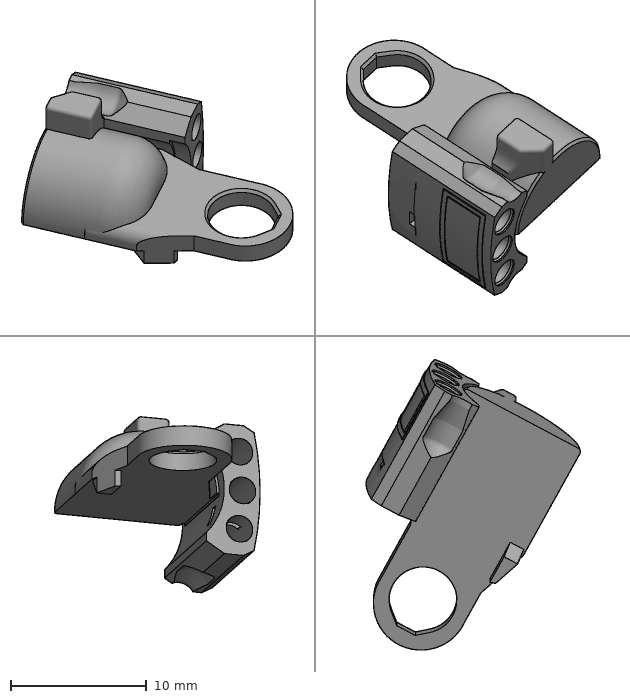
import cadquery as cq
import math

TOTAL_LENGTH = 19.3

SHELL_RADIUS = 4.9
SHELL_LENGTH = 9.01
SHELL_ROUNDING = 3.0
SHELL_CHAMFER = 0.2

BLOCK_LENGTH = 9.8
BLOCK_HALF_HEIGHT = 5.0
HOLLOW_RADIUS = 5.1
NOSE_Y = 3.7
NOSE_HALF_HEIGHT = 4.15
RIDGE_Y = 5.1
BACK_CORNER_Y = 6.58
SHOULDER_Y = 7.41
SHOULDER_HALF_HEIGHT = 4.54
BACK_Y = 7.87

BORE_RADIUS = 1.02
BORE_MOUTH_RADIUS = 1.12
BORE_MOUTH_DEPTH = 0.12
BORE_CONE_LENGTH = 0.15
BORE_CENTRES = [(6.27, 2.97), (6.5, 0), (6.27, -2.97)]

FLUTE_Y = 4.82
FLUTE_Z = 5.67
FLUTE_NECK_RADIUS = 1.3
FLUTE_RADIUS = 1.66
FLUTE_NECK_END = 0.48
FLUTE_TAPER_END = 2.18
FLUTE_BARREL_END = 3.7
FLUTE_ROUNDING = 0.5

FRAME_START = 0.8
FRAME_END = 4.82
FRAME_HALF_HEIGHT = 4.2
FRAME_WIDTH = 0.45
FRAME_RISE = 0.08

RECESS_START = 7.33
RECESS_FLAT_END = 8.4
RECESS_DEPTH = 0.21
RECESS_HALF_HEIGHT = 3.09
SLOT_START = 7.3
SLOT_LENGTH = 0.64
SLOT_TOP = -0.8
SLOT_HEIGHT = 1.4

WEB_START = 0.65
WEB_END = 8.59
WEB_TOP = math.sqrt(HOLLOW_RADIUS**2 - NOSE_Y**2)
WEB_LIP_Y = 5.05
WEB_LIP_DROP = 0.2

PLATE_THICKNESS = 1.5
PLATE_START = 4.98
PLATE_HALF_WIDTH = 3.5
PLATE_EDGE_ROUNDING = 1.0
RING_X = 15.5
FLANK_LENGTH = 4.0
FRONT_FLANK_END = 13.0
BACK_FLANK_END = 10.98

HOLE_RADIUS = 2.49
HOLE_FLAT_X = 2.6
HOLE_FLAT_HALF = 0.77
HOLE_CHAMFER = 0.21

FIN_TOP = 7.0
FIN_BASE = 1.93
FIN_LENGTH = 3.65
FIN_FRONT_Y = 0.48
FIN_BACK_Y = 2.93
FIN_FOOT_Y = 3.55
FIN_FLARE_TOP = 5.98
FIN_FLARE_BOTTOM = 4.54
FIN_CORNER_Y = 1.75
FIN_CORNER_X = 1.99
FIN_ROUNDING = 0.3
FIN_TOP_ROUNDING = 0.29

HOOK_DEPTH = 1.22
HOOK_START = 9.55
HOOK_FRONT_END = 11.62
HOOK_END = 11.75
HOOK_BACK_Y = -3.57
HOOK_RAMP_START = 8.6


def box(x_range, y_range, z_range):
    size = [end - start for start, end in (x_range, y_range, z_range)]
    corner = (x_range[0], y_range[0], z_range[0])
    return cq.Workplane("XY").box(*size, centered=False).translate(corner)


def rod(radius, length):
    return cq.Workplane("YZ").circle(radius).extrude(length)


def make_shell():
    profile = (
        cq.Workplane("XY")
        .lineTo(0, SHELL_RADIUS - SHELL_CHAMFER)
        .lineTo(SHELL_CHAMFER, SHELL_RADIUS)
        .lineTo(SHELL_LENGTH - SHELL_ROUNDING, SHELL_RADIUS)
        .tangentArcPoint((SHELL_LENGTH, SHELL_RADIUS - SHELL_ROUNDING), relative=False)
        .lineTo(SHELL_LENGTH, 0)
        .close()
    )
    body = profile.revolve(360, (0, 0, 0), (1, 0, 0))
    upper_half = box((0, SHELL_LENGTH), (-SHELL_RADIUS, SHELL_RADIUS), (0, SHELL_RADIUS))
    return body.intersect(upper_half)


def make_block_body(back_offset):
    """Block without its bores; back_offset moves its curved back outwards."""
    shoulder_y = SHOULDER_Y + back_offset
    body = (
        cq.Workplane("YZ")
        .moveTo(NOSE_Y, -NOSE_HALF_HEIGHT)
        .lineTo(RIDGE_Y, -BLOCK_HALF_HEIGHT)
        .lineTo(BACK_CORNER_Y, -BLOCK_HALF_HEIGHT)
        .lineTo(shoulder_y, -SHOULDER_HALF_HEIGHT)
        .threePointArc((BACK_Y + back_offset, 0), (shoulder_y, SHOULDER_HALF_HEIGHT))
        .lineTo(BACK_CORNER_Y, BLOCK_HALF_HEIGHT)
        .lineTo(RIDGE_Y, BLOCK_HALF_HEIGHT)
        .lineTo(NOSE_Y, NOSE_HALF_HEIGHT)
        .close()
        .extrude(BLOCK_LENGTH)
    )
    return body.cut(rod(HOLLOW_RADIUS, BLOCK_LENGTH))


def make_frame():
    y_range = (BACK_CORNER_Y, BACK_Y + FRAME_RISE)
    outer = box((FRAME_START, FRAME_END), y_range, (-FRAME_HALF_HEIGHT, FRAME_HALF_HEIGHT))
    window_half = FRAME_HALF_HEIGHT - FRAME_WIDTH
    window_x = (FRAME_START + FRAME_WIDTH, FRAME_END - FRAME_WIDTH)
    window = box(window_x, y_range, (-window_half, window_half))
    return make_block_body(FRAME_RISE).intersect(outer.cut(window))


def make_flute():
    rounding_end = FLUTE_BARREL_END + FLUTE_ROUNDING * math.sin(math.pi / 4)
    cone_radius = FLUTE_RADIUS - FLUTE_ROUNDING * (1 - math.cos(math.pi / 4))
    profile = (
        cq.Workplane("XY")
        .lineTo(0, FLUTE_NECK_RADIUS)
        .lineTo(FLUTE_NECK_END, FLUTE_NECK_RADIUS)
        .lineTo(FLUTE_TAPER_END, FLUTE_RADIUS)
        .lineTo(FLUTE_BARREL_END, FLUTE_RADIUS)
        .tangentArcPoint((rounding_end, cone_radius), relative=False)
        .lineTo(rounding_end + cone_radius, 0)
        .close()
    )
    return profile.revolve(360, (0, 0, 0), (1, 0, 0)).translate((0, FLUTE_Y, FLUTE_Z))


def make_bore(y, z):
    bore = rod(BORE_RADIUS, BLOCK_LENGTH)
    mouth = rod(BORE_MOUTH_RADIUS, BORE_MOUTH_DEPTH)
    cone = cq.Solid.makeCone(
        BORE_MOUTH_RADIUS,
        BORE_RADIUS,
        BORE_CONE_LENGTH,
        pnt=cq.Vector(BORE_MOUTH_DEPTH, 0, 0),
        dir=cq.Vector(1, 0, 0),
    )
    return bore.union(mouth).union(cone).translate((0, y, z))


def make_back_recess():
    floor_y = BACK_Y - RECESS_DEPTH
    return (
        cq.Workplane("XY", origin=(0, 0, -RECESS_HALF_HEIGHT))
        .moveTo(RECESS_START, BACK_Y)
        .lineTo(RECESS_START, floor_y)
        .lineTo(RECESS_FLAT_END, floor_y)
        .lineTo(BLOCK_LENGTH, BACK_Y)
        .close()
        .extrude(2 * RECESS_HALF_HEIGHT)
    )


def make_block():
    block = make_block_body(0).union(make_frame())
    for y, z in BORE_CENTRES:
        block = block.cut(make_bore(y, z))
    flute = make_flute()
    block = block.cut(flute).cut(flute.mirror("XY"))
    slot = box(
        (SLOT_START, SLOT_START + SLOT_LENGTH),
        (NOSE_Y, BACK_Y),
        (SLOT_TOP - SLOT_HEIGHT, SLOT_TOP),
    )
    return block.cut(make_back_recess()).cut(slot)


def make_web():
    web = box((WEB_START, WEB_END), (NOSE_Y, HOLLOW_RADIUS), (0, WEB_TOP))
    web = web.cut(rod(SHELL_RADIUS, BLOCK_LENGTH))
    lip = box((WEB_START, WEB_END), (WEB_LIP_Y, HOLLOW_RADIUS), (-WEB_LIP_DROP, 0))
    return web.union(lip).intersect(rod(HOLLOW_RADIUS, BLOCK_LENGTH))


def make_ring_hole():
    corner_radius = math.hypot(HOLE_FLAT_X, HOLE_FLAT_HALF)
    corner_angle = math.atan2(HOLE_FLAT_HALF, HOLE_FLAT_X)
    tangent_angle = corner_angle + math.acos(HOLE_RADIUS / corner_radius)
    tangent_x = HOLE_RADIUS * math.cos(tangent_angle)
    tangent_y = HOLE_RADIUS * math.sin(tangent_angle)
    hole = (
        cq.Workplane("XY")
        .moveTo(HOLE_FLAT_X, -HOLE_FLAT_HALF)
        .lineTo(HOLE_FLAT_X, HOLE_FLAT_HALF)
        .lineTo(tangent_x, tangent_y)
        .threePointArc((-HOLE_RADIUS, 0), (tangent_x, -tangent_y))
        .close()
        .extrude(PLATE_THICKNESS)
    )
    rim = (
        hole.faces("<Z")
        .wires()
        .toPending()
        .extrude(HOLE_CHAMFER, combine=False, taper=-45)
        .translate((0, 0, PLATE_THICKNESS - HOLE_CHAMFER))
    )
    return hole.union(rim).translate((RING_X, 0, 0))


def make_plate():
    slab = (
        box((PLATE_START, TOTAL_LENGTH), (-SHELL_RADIUS, SHELL_RADIUS), (0, PLATE_THICKNESS))
        .edges("|X and >Z and <Y")
        .fillet(PLATE_EDGE_ROUNDING)
    )
    outline = (
        cq.Workplane("XY")
        .moveTo(PLATE_START, -SHELL_RADIUS)
        .lineTo(FRONT_FLANK_END - FLANK_LENGTH, -SHELL_RADIUS)
        .lineTo(FRONT_FLANK_END, -PLATE_HALF_WIDTH)
        .lineTo(RING_X, -PLATE_HALF_WIDTH)
        .threePointArc((TOTAL_LENGTH, 0), (RING_X, PLATE_HALF_WIDTH))
        .lineTo(BACK_FLANK_END, PLATE_HALF_WIDTH)
        .lineTo(BACK_FLANK_END - FLANK_LENGTH, SHELL_RADIUS)
        .lineTo(PLATE_START, SHELL_RADIUS)
        .close()
        .extrude(PLATE_THICKNESS)
    )
    return slab.intersect(outline).cut(make_ring_hole())


def make_fin():
    side = (
        cq.Workplane("YZ")
        .moveTo(FIN_FRONT_Y, FIN_BASE)
        .lineTo(FIN_FRONT_Y, FIN_TOP)
        .lineTo(FIN_BACK_Y, FIN_TOP)
        .lineTo(FIN_BACK_Y, FIN_FLARE_TOP)
        .tangentArcPoint((FIN_FOOT_Y, FIN_FLARE_BOTTOM), relative=False)
        .lineTo(FIN_FOOT_Y, FIN_BASE)
        .close()
        .extrude(FIN_LENGTH)
    )
    corner = (
        cq.Workplane("XY")
        .moveTo(0, FIN_CORNER_Y)
        .lineTo(FIN_CORNER_X, FIN_FOOT_Y)
        .lineTo(0, FIN_FOOT_Y)
        .close()
        .extrude(FIN_TOP)
    )
    fin = side.cut(corner)
    fin = fin.faces("not #X").edges("not #Z").fillet(FIN_ROUNDING)
    return fin.faces(">Z").edges().fillet(FIN_TOP_ROUNDING)


def flank_y(x):
    """Y of the plate's front flank at a given X."""
    slope = (SHELL_RADIUS - PLATE_HALF_WIDTH) / FLANK_LENGTH
    return -PLATE_HALF_WIDTH - slope * (FRONT_FLANK_END - x)


def make_hook():
    front_y = flank_y(HOOK_START)
    tooth = (
        cq.Workplane("XY")
        .moveTo(HOOK_RAMP_START, front_y)
        .lineTo(HOOK_START, front_y)
        .lineTo(HOOK_FRONT_END, flank_y(HOOK_FRONT_END))
        .lineTo(HOOK_END, HOOK_BACK_Y)
        .lineTo(HOOK_RAMP_START, HOOK_BACK_Y)
        .close()
        .extrude(-HOOK_DEPTH)
    )
    below_ramp = (
        cq.Workplane("XZ", origin=(0, HOOK_BACK_Y, 0))
        .moveTo(HOOK_RAMP_START, 0)
        .lineTo(HOOK_START, -HOOK_DEPTH)
        .lineTo(HOOK_RAMP_START, -HOOK_DEPTH)
        .close()
        .extrude(HOOK_BACK_Y - front_y)
    )
    return tooth.cut(below_ramp)


result = (
    make_shell()
    .union(make_plate())
    .union(make_web())
    .union(make_block())
    .union(make_fin())
    .union(make_hook())
)